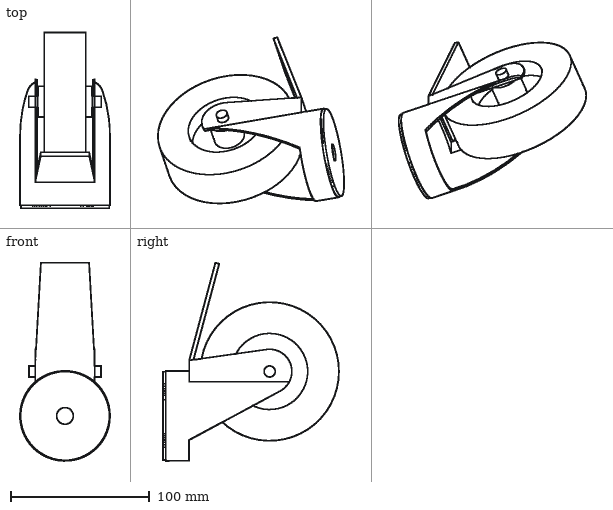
import cadquery as cq
import math


wheel_radius = 50.0
wheel_width = 30.0
rim_bore_radius = 27.5
web_thickness = 4.3
hub_radius = 11.2
hub_length = 39.2
axle_radius = 4.0
axle_length = 52.0

wall = 1.5
fork_width = 42.9
lug_radius = 16.0
lug_lower_z = -49.5
lug_upper_z = 8.0
cup_diameter = 65.0
cup_radius = cup_diameter / 2
cup_z = -32.0
cup_front_y = -77.0
cup_back_y = -58.0
lip_length = 2.1
lip_step = 0.6
stem_hole_radius = 6.0

flap_thickness = 3.0
flap_angle = 15.0
overall_height = 143.0
flap_top_z = overall_height + cup_z - cup_radius
flap_top_width = 34.9


def x_cylinder(radius, length):
    """Cylinder on the axle axis, centred on X = 0."""
    return cq.Workplane("YZ", origin=(-length / 2, 0, 0)).circle(radius).extrude(length)


def swivel_cylinder(radius, y_start, y_end):
    """Cylinder on the swivel axis from y_start back to y_end."""
    plane = cq.Workplane("XZ", origin=(0, y_start, cup_z))
    return plane.circle(radius).extrude(y_start - y_end)


def block(width, y_range, z_range):
    """Box centred on X = 0."""
    size_y = y_range[1] - y_range[0]
    size_z = z_range[1] - z_range[0]
    box = cq.Workplane("XY").box(width, size_y, size_z, centered=(True, False, False))
    return box.translate((0, y_range[0], z_range[0]))


def lug_tangent_point(y, z, side):
    """Point where a line from (y, z) touches the lug circle; side is +1 or -1."""
    angle = math.atan2(z, y) + side * math.acos(lug_radius / math.hypot(y, z))
    return (lug_radius * math.cos(angle), lug_radius * math.sin(angle))


def make_wheel():
    wheel = x_cylinder(wheel_radius, wheel_width)
    rim_bore = x_cylinder(rim_bore_radius, wheel_width)
    web = x_cylinder(rim_bore_radius, web_thickness)
    hub = x_cylinder(hub_radius, hub_length)
    axle = x_cylinder(axle_radius, axle_length)
    return wheel.cut(rim_bore).union(web).union(hub).union(axle)


def make_fork_side_mask():
    """Side outline of the fork: a round lug with tangents down to the swivel cup."""
    upper = lug_tangent_point(cup_back_y, lug_upper_z, -1)
    lower = lug_tangent_point(cup_back_y, lug_lower_z, 1)
    return (
        cq.Workplane("YZ")
        .moveTo(cup_back_y, lug_upper_z)
        .lineTo(*upper)
        .threePointArc((lug_radius, 0), lower)
        .lineTo(cup_back_y, lug_lower_z)
        .close()
        .extrude(cup_radius, both=True)
    )


def make_flap():
    """Plate leaning towards the wheel, tapering evenly to its top edge."""
    lean = math.radians(flap_angle)
    length = (flap_top_z - lug_upper_z) / math.cos(lean)
    plane = cq.Plane(
        origin=(0, cup_back_y, lug_upper_z),
        xDir=(1, 0, 0),
        normal=(0, -math.cos(lean), math.sin(lean)),
    )
    outline = [
        (-fork_width / 2, 0),
        (fork_width / 2, 0),
        (flap_top_width / 2, length),
        (-flap_top_width / 2, length),
    ]
    return cq.Workplane(plane).polyline(outline).close().extrude(-flap_thickness)


def make_bracket():
    upper_block = block(fork_width, (cup_back_y, lug_radius), (cup_z, lug_radius))
    fork = swivel_cylinder(cup_radius, lug_radius, cup_back_y).union(upper_block)
    fork = fork.intersect(make_fork_side_mask())

    lip_y = cup_front_y + lip_length
    cup = swivel_cylinder(cup_radius, cup_back_y, lip_y)
    lip = swivel_cylinder(cup_radius - lip_step, lip_y, cup_front_y)
    bracket = fork.union(cup).union(lip)

    cup_cavity = swivel_cylinder(cup_radius - wall, lug_radius, cup_front_y + wall)
    fork_cavity = block(fork_width - 2 * wall, (cup_back_y + wall, lug_radius), (cup_z, lug_radius))
    bracket = bracket.cut(cup_cavity).cut(fork_cavity)

    stem_hole = swivel_cylinder(stem_hole_radius, cup_front_y + wall, cup_front_y)
    axle_holes = x_cylinder(axle_radius, fork_width)
    return bracket.cut(stem_hole).cut(axle_holes).union(make_flap())


wheel = make_wheel()
bracket = make_bracket()

result = cq.Compound.makeCompound([wheel.solids().val(), bracket.solids().val()])